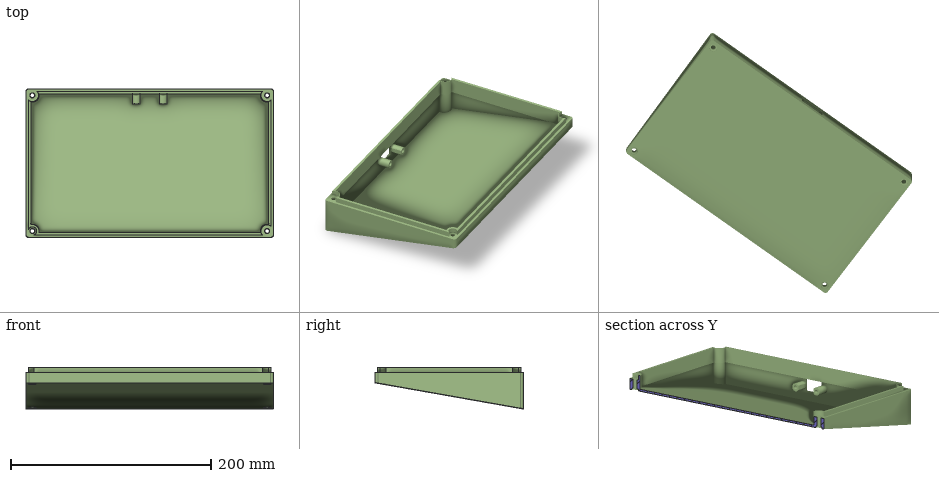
import cadquery as cq
import math

length = 247.5
depth = 148.5
total_height = 41.57
corner_radius = 3.0
slope = math.tan(math.radians(10.0))
lip_height = 5.0

lip_inset = 2.5
lip_corner_radius = 2.0
upper_wall = 5.0
lower_wall = 2.5
floor_rise = 2.5

screw_inset = 6.5
upper_boss_radius = 6.7
lower_boss_radius = 6.25
screw_hole_radius = 4.6 / 2
head_recess_radius = 7.5 / 2
head_recess_depth = 2.0
lip_relief_radius = 6.25
small_lip_relief_radius = 4.25

pin_spacing = 26.4
pin_radius = 8.2 / 2
pin_hole_radius = 3.8 / 2
pin_reach = 10.0
pin_hole_depth = 8.0
pin_z = 18.6
opening_width = 19.4
opening_height = 13.0
opening_top_z = 26.0
opening_web = 1.5
recess_margin = 3.0

half_length = length / 2
half_depth = depth / 2
slope_top_z = depth * slope
rim_z = total_height - lip_height
screw_x = half_length - screw_inset
screw_y = half_depth - screw_inset
screw_points = [(sign_x * screw_x, sign_y * screw_y) for sign_x in (-1, 1) for sign_y in (-1, 1)]
small_relief_point = (-screw_x, -screw_y)
pin_tip_y = half_depth - upper_wall - pin_reach


def plan_block(inset, bottom, top):
    """Upright block whose sides are inset from the outer plan outline."""
    base = cq.Workplane("XY").workplane(offset=bottom)
    return base.rect(length - 2 * inset, depth - 2 * inset).extrude(top - bottom)


def posts(points, radius, bottom, top):
    """Upright cylinders at the given plan points."""
    base = cq.Workplane("XY").workplane(offset=bottom)
    return base.pushPoints(points).circle(radius).extrude(top - bottom)


def above_slope(rise):
    """Everything above the sloping underside lifted by the given rise."""
    side = [
        (-half_depth, slope_top_z + rise),
        (half_depth, rise),
        (half_depth, total_height),
        (-half_depth, total_height),
    ]
    return cq.Workplane("YZ").polyline(side).close().extrude(half_length, both=True)


def cavity_part(wall, boss_radius, bottom, top):
    """One level of the hollow, leaving the corner bosses standing."""
    return plan_block(wall, bottom, top).cut(posts(screw_points, boss_radius, bottom, top))


def make_tray():
    body = plan_block(0, 0, rim_z).edges("|Z").fillet(corner_radius)
    lip = plan_block(lip_inset, rim_z, total_height).edges("|Z").fillet(lip_corner_radius)
    upper_cavity = cavity_part(upper_wall, upper_boss_radius, slope_top_z, total_height)
    lower_cavity = cavity_part(lower_wall, lower_boss_radius, 0, slope_top_z)
    cavity = upper_cavity.union(lower_cavity).intersect(above_slope(floor_rise))
    return body.union(lip).intersect(above_slope(0)).cut(cavity)


def cut_lip_reliefs(body):
    """Open the lip around each screw, out to the corner of the tray."""
    for x, y in screw_points:
        radius = small_lip_relief_radius if (x, y) == small_relief_point else lip_relief_radius
        body = body.cut(posts([(x, y)], radius, rim_z, total_height))
        corner_x = math.copysign(half_length - screw_inset / 2, x)
        corner_y = math.copysign(half_depth - screw_inset / 2, y)
        corner = cq.Workplane("XY").box(screw_inset, screw_inset, lip_height)
        body = body.cut(corner.translate((corner_x, corner_y, rim_z + lip_height / 2)))
    return body


def cut_screw_holes(body):
    """Through holes with screw head recesses in the sloping underside."""
    body = body.cut(posts(screw_points, screw_hole_radius, 0, rim_z))
    for x, y in screw_points:
        recess_top = (half_depth - y) * slope + head_recess_depth
        body = body.cut(posts([(x, y)], head_recess_radius, 0, recess_top))
    return body


def rear_cutter(width, height, reach):
    """Box centred on the connector opening, reaching inward from the rear face."""
    box = cq.Workplane("XY").box(width, 2 * reach, height)
    return box.translate((0, half_depth, opening_top_z - opening_height / 2))


def add_connector(body):
    """Two drilled pins, flattened where the opening runs between them."""
    centres = [(-pin_spacing / 2, pin_z), (pin_spacing / 2, pin_z)]
    tips = cq.Workplane("XZ", origin=(0, pin_tip_y, 0)).pushPoints(centres)
    pin_root_y = half_depth - lower_wall / 2
    pins = tips.circle(pin_radius).extrude(pin_tip_y - pin_root_y)
    pin_holes = tips.circle(pin_hole_radius).extrude(-pin_hole_depth)
    opening = rear_cutter(opening_width, opening_height, half_depth - pin_tip_y)
    recess = rear_cutter(
        opening_width + 2 * recess_margin,
        opening_height + 2 * recess_margin,
        lower_wall - opening_web,
    )
    return body.union(pins).cut(pin_holes).cut(opening).cut(recess)


tray = make_tray()
tray = cut_lip_reliefs(tray)
tray = cut_screw_holes(tray)
result = add_connector(tray)